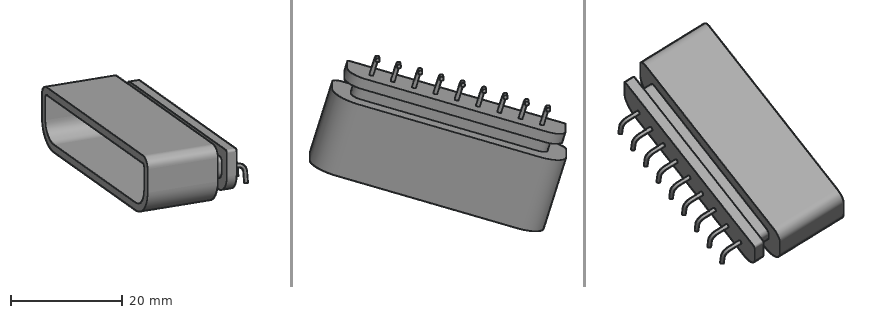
import cadquery as cq
import math

width = 44.0
height = 11.5
shell_length = 14.0
wall = 1.5
top_radius = 2.0
bottom_radius = 5.0

neck_inset = 3.5
neck_length = 2.5
neck_top_radius = 0.95
neck_bottom_radius = 2.0
flange_thickness = 2.0

pin_count = 9
pin_pitch = 4.0
pin_diameter = 0.75
pin_straight_length = 2.35
pin_bend_radius = 1.5
pin_bend_angle = 85.0
pin_tail_length = 2.15

shell_back = shell_length
neck_back = shell_back + neck_length
flange_back = neck_back + flange_thickness
pin_z = -height / 2 + bottom_radius


def d_block(inset, upper_radius, lower_radius, start_y, length):
    """Block along +Y with the shell outline moved inwards by inset and its own corner radii."""
    return (
        cq.Workplane("XY")
        .box(width - 2 * inset, length, height - 2 * inset)
        .edges("|Y and >Z")
        .fillet(upper_radius)
        .edges("|Y and <Z")
        .fillet(lower_radius)
        .translate((0, start_y + length / 2, 0))
    )


def make_housing():
    """Shell, neck and flange in one piece; the cavity leaves a floor as thick as the wall."""
    inner_top_radius = top_radius - wall
    inner_bottom_radius = bottom_radius - wall
    shell = d_block(0, top_radius, bottom_radius, 0, shell_length)
    cavity = d_block(wall, inner_top_radius, inner_bottom_radius, 0, shell_length - wall)
    neck = d_block(neck_inset, neck_top_radius, neck_bottom_radius, shell_back, neck_length)
    flange = d_block(wall, inner_top_radius, inner_bottom_radius, neck_back, flange_thickness)
    return shell.cut(cavity).union(neck).union(flange)


def make_pin(x):
    """Round wire that starts on the back of the flange, bends down and ends in a straight tail."""
    bend_start = flange_back + pin_straight_length

    def bend_point(degrees):
        angle = math.radians(degrees)
        y = bend_start + pin_bend_radius * math.sin(angle)
        z = pin_z - pin_bend_radius * (1 - math.cos(angle))
        return y, z

    bend_end = bend_point(pin_bend_angle)
    tail_angle = math.radians(pin_bend_angle)
    tail_end = (
        bend_end[0] + pin_tail_length * math.cos(tail_angle),
        bend_end[1] - pin_tail_length * math.sin(tail_angle),
    )
    path = (
        cq.Workplane("YZ", origin=(x, 0, 0))
        .moveTo(flange_back, pin_z)
        .lineTo(bend_start, pin_z)
        .threePointArc(bend_point(pin_bend_angle / 2), bend_end)
        .lineTo(*tail_end)
    )
    return (
        cq.Workplane("XZ", origin=(x, flange_back, pin_z))
        .circle(pin_diameter / 2)
        .sweep(path)
    )


housing = make_housing()
pins = []
for index in range(pin_count):
    pin_x = (index - (pin_count - 1) / 2) * pin_pitch
    pins.append(make_pin(pin_x).val())

result = cq.Compound.makeCompound([housing.val(), *pins])